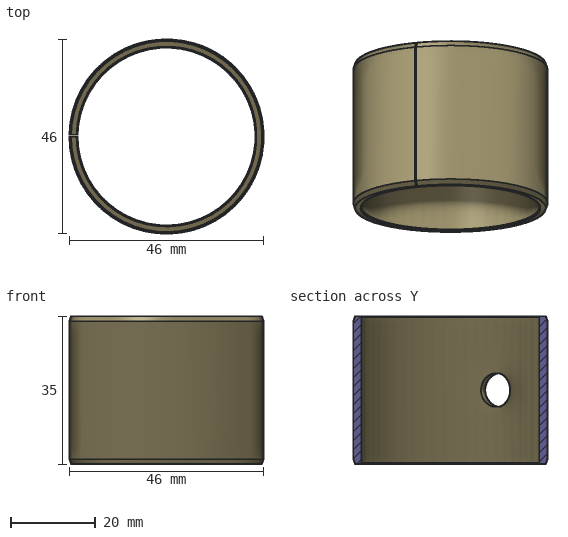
import cadquery as cq
import math

outer_diameter = 46.0
wall_thickness = 2.0
length = 35.0
outer_radius = outer_diameter / 2
inner_radius = outer_radius - wall_thickness

outer_chamfer_length = 1.2
outer_chamfer_angle = 20.0
outer_chamfer_depth = outer_chamfer_length * math.tan(math.radians(outer_chamfer_angle))
inner_chamfer = 0.3

gap_angle = 1.0
wrap_angle = 360.0 - gap_angle

hole_diameter = 8.0
joint_edge_angle = 180.0 - gap_angle
hole_to_joint_angle = 120.0
hole_angle = joint_edge_angle - hole_to_joint_angle


def make_sleeve():
    """Revolve the chamfered wall section about Z, from the -X axis through -Y, leaving the joint gap."""
    half = length / 2
    outer_edge = half - outer_chamfer_length
    inner_edge = half - inner_chamfer
    section = [
        (-inner_radius, -inner_edge),
        (-inner_radius - inner_chamfer, -half),
        (-outer_radius + outer_chamfer_depth, -half),
        (-outer_radius, -outer_edge),
        (-outer_radius, outer_edge),
        (-outer_radius + outer_chamfer_depth, half),
        (-inner_radius - inner_chamfer, half),
        (-inner_radius, inner_edge),
    ]
    return cq.Workplane("XZ").polyline(section).close().revolve(wrap_angle, (0, 0, 0), (0, 1, 0))


def make_oil_hole():
    """Cylinder from the axis outwards through one wall."""
    hole = cq.Workplane("YZ").circle(hole_diameter / 2).extrude(outer_diameter)
    return hole.rotate((0, 0, 0), (0, 0, 1), hole_angle)


result = make_sleeve().cut(make_oil_hole())